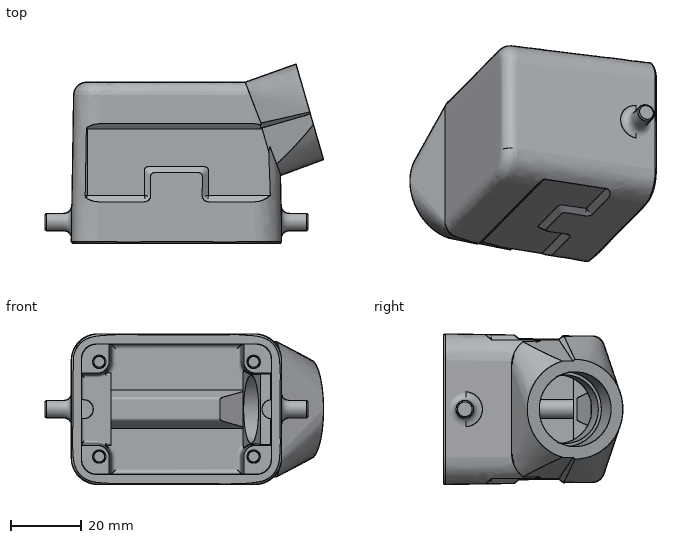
import cadquery as cq
import math

rim_length = 60.0
rim_height = 43.0
corner_radius = 7.6
body_depth = 46.0
body_draft = 0.9
back_fillet = 3.8
rim_chamfer = 0.6

opening_length = 54.2
opening_height = 37.2
opening_radius = 4.3
cavity_depth = 43.0
cavity_draft = 0.4
cavity_floor_fillet = 1.2

screw_pitch_x = 44.0
screw_pitch_z = 27.0
screw_hole_diameter = 3.1
screw_hole_depth = 10.0
screw_hole_chamfer = 0.35
screw_hole_chamfer_angle = 45.0
post_face_y = 9.8
post_inner_x = 19.2
post_inner_z = 10.3
post_edge_radius = 3.3
post_draft = 1.5

shelf_y = 37.0
shelf_edge_x = -18.6
shelf_fillet = 0.6
ridge_top_y = 38.0
ridge_top_width = 6.4
ridge_base_width = 11.0
ridge_edge_radius = 1.0
ridge_ramp_start_x = 12.4
ridge_ramp_end_y = 42.0
ridge_end_x = 19.0

wall_step_start = (26.8, 19.2)
wall_step_end = (24.0, 20.6)
wall_foot = (19.0, cavity_depth)

rib_width = 5.4
rib_face_y = 10.5
left_rib_reach = 3.4
right_rib_reach = 2.7
rib_root_overlap = 1.0

pin_diameter = 5.0
pin_span = 75.0
pin_y = 6.1
pin_chamfer = 0.4
pin_collar_diameter = 10.0
pin_collar_length = 2.6
pin_wall_sink = 0.1
pin_root_inset = 1.0

panel_floor_z = 19.75
panel_left_x = -25.4
panel_right_x = 33.0
panel_low_y = 13.75
panel_high_y = 32.7
panel_slope_run = 1.65
panel_slope_angle = 50.0
tongue_floor_width = 18.3
tongue_floor_y = 21.9
tongue_corner_radius = 2.0
panel_cut_height = 2.0

outlet_top = (19.6, body_depth)
outlet_bottom = (29.8, 19.4)
outlet_base_height = 41.8
mouth_center = (38.03, 37.53)
mouth_diameter = 28.4
mouth_flat = 0.06
mouth_tilt = math.radians(16.06)
outlet_low_radius = 8.5
bore_diameter = 19.5
bore_length = 18.5
entry_diameter = 21.3
entry_depth = 10.0
outlet_step_length = 15.0
outlet_step_mouth_z = 13.7
outlet_step_base_z = 20.0
outlet_step_lift = 1.0

overshoot = 5.0
select_margin = 0.1


def facing_back(y):
    """XZ work plane at depth y whose extrusions run toward +Y."""
    return cq.Workplane(cq.Plane((0, y, 0), (1, 0, 0), (0, 1, 0)))


def tilted_plane(center, tilt):
    """Plane facing outward along the tilt: local x runs up toward +Y, local y is Z."""
    sine = math.sin(tilt)
    cosine = math.cos(tilt)
    return cq.Plane((center[0], center[1], 0), (-sine, cosine, 0), (cosine, sine, 0))


def prism_about_mid(points, height):
    """Extrude an XY outline symmetrically about Z = 0."""
    return cq.Workplane("XY").polyline(points).close().extrude(height / 2, both=True)


def mirrored_pair(shape):
    return shape.union(shape.mirror("XY"))


def rounded_rectangle(length, height, radius):
    return cq.Sketch().rect(length, height).vertices().fillet(radius)


def make_shell():
    """Drafted outer block whose corner radius stays the same over the depth."""
    shrink = 2 * body_depth * math.tan(math.radians(body_draft))
    rim = rounded_rectangle(rim_length, rim_height, corner_radius)
    back = rounded_rectangle(rim_length - shrink, rim_height - shrink, corner_radius)
    shell = facing_back(0).placeSketch(rim, back.moved(cq.Location((0, 0, body_depth)))).loft(ruled=True)
    shell = shell.faces(">Y").edges().fillet(back_fillet)
    return shell.faces("<Y").edges().chamfer(rim_chamfer)


def rounded_wire(plane, length, height, high_radius, low_radius):
    """Rectangle with separate corner radii at its +x and -x ends."""
    half_x = length / 2
    half_y = height / 2
    corners = [
        (1, -1, high_radius, True),
        (1, 1, high_radius, False),
        (-1, 1, low_radius, True),
        (-1, -1, low_radius, False),
    ]
    work = cq.Workplane(plane).moveTo(low_radius - half_x, -half_y)
    for sign_x, sign_y, radius, arrives_along_x in corners:
        tip_x = sign_x * half_x
        tip_y = sign_y * half_y
        along_x = (tip_x - sign_x * radius, tip_y)
        along_y = (tip_x, tip_y - sign_y * radius)
        inset = radius * (1 - math.sqrt(0.5))
        middle = (tip_x - sign_x * inset, tip_y - sign_y * inset)
        start, end = (along_x, along_y) if arrives_along_x else (along_y, along_x)
        work = work.lineTo(*start).threePointArc(middle, end)
    return work.close().wire().val()


base_run_x = outlet_bottom[0] - outlet_top[0]
base_run_y = outlet_top[1] - outlet_bottom[1]
base_tilt = math.atan2(base_run_x, base_run_y)
base_length = math.hypot(base_run_x, base_run_y)
base_center = (
    (outlet_top[0] + outlet_bottom[0]) / 2,
    (outlet_top[1] + outlet_bottom[1]) / 2,
)
base_plane = tilted_plane(base_center, base_tilt)
mouth_plane = tilted_plane(mouth_center, mouth_tilt)


def make_outlet():
    """Ruled transition from a rounded rectangle to a nearly circular mouth."""
    base = rounded_wire(base_plane, base_length, outlet_base_height, back_fillet, outlet_low_radius)
    mouth_radius = (mouth_diameter - mouth_flat) / 2
    mouth = rounded_wire(mouth_plane, mouth_diameter, mouth_diameter, mouth_radius, mouth_radius)
    return cq.Workplane(cq.Solid.makeLoft([base, mouth], True))


def make_end_cutter():
    """Everything beyond the plane where the outlet starts."""
    return cq.Workplane(base_plane).rect(2 * rim_length, 2 * rim_height).extrude(rim_length)


def make_panel_cutter():
    """Slope-sided panel recess on both broad sides, leaving a raised tongue by the rim."""
    half_tongue = tongue_floor_width / 2
    points = [
        (panel_left_x, panel_low_y),
        (-half_tongue, panel_low_y),
        (-half_tongue, tongue_floor_y),
        (half_tongue, tongue_floor_y),
        (half_tongue, panel_low_y),
        (panel_right_x, panel_low_y),
        (panel_right_x, panel_high_y),
        (panel_left_x, panel_high_y),
    ]
    panel = cq.Workplane("XY", origin=(0, 0, panel_floor_z)).polyline(points).close()
    cutter = panel.extrude(panel_cut_height, taper=-panel_slope_angle)
    slope_mid_z = panel_floor_z + panel_cut_height / 2
    reach_x = half_tongue + tongue_corner_radius
    tongue_corners = cq.selectors.BoxSelector(
        (-reach_x, 0, slope_mid_z - select_margin),
        (reach_x, panel_high_y - panel_slope_run, slope_mid_z + select_margin),
    )
    return mirrored_pair(cutter.edges(tongue_corners).fillet(tongue_corner_radius))


def make_outlet_step_cutter():
    """Lowers the rim-side half of each broad outlet face, continuing the panel."""

    def section(offset, floor_z):
        plane = cq.Plane(
            mouth_plane.toWorldCoords((0, 0, offset)), mouth_plane.xDir, mouth_plane.zDir
        )
        slope_rise = panel_slope_run / math.tan(math.radians(panel_slope_angle))
        low_edge = -mouth_diameter
        points = [
            (low_edge, floor_z),
            (outlet_step_lift - panel_slope_run, floor_z),
            (outlet_step_lift, floor_z + slope_rise),
            (outlet_step_lift, floor_z + overshoot),
            (low_edge, floor_z + overshoot),
        ]
        return cq.Workplane(plane).polyline(points).close().wire().val()

    sections = [section(-outlet_step_length, outlet_step_base_z), section(0, outlet_step_mouth_z)]
    return mirrored_pair(cq.Workplane(cq.Solid.makeLoft(sections, True)))


def make_pin(side):
    """Locking pin with a flared collar on one end wall."""
    plane = cq.Plane((0, pin_y, 0), (0, 1, 0), (side, 0, 0))
    pin_root = opening_length / 2 + pin_root_inset
    pin = cq.Workplane(plane).workplane(offset=pin_root).circle(pin_diameter / 2)
    pin = pin.extrude(pin_span / 2 - pin_root)
    pin = pin.faces(">X" if side > 0 else "<X").chamfer(pin_chamfer)
    root_x = rim_length / 2 - pin_wall_sink
    tip_x = root_x + pin_collar_length
    pin_radius = pin_diameter / 2
    root_radius = pin_collar_diameter / 2
    start = (side * root_x, pin_y + root_radius)
    end = (side * tip_x, pin_y + pin_radius)
    blend = cq.Workplane("XY").moveTo(side * root_x, pin_y).lineTo(*start)
    blend = blend.spline([end], tangents=[(0, -1), (side, 0)], includeCurrent=True)
    blend = blend.lineTo(side * tip_x, pin_y).close()
    return pin.union(blend.revolve(360, (0, pin_y, 0), (1, pin_y, 0)))


def make_posts():
    """Four corner posts rounded on the inner edge, oversized outward to reach past the cavity."""
    post_size = rim_length / 2
    posts = None
    for side_x in (-1, 1):
        for side_z in (-1, 1):
            center_x = side_x * (post_inner_x + post_size / 2)
            center_z = side_z * (post_inner_z + post_size / 2)
            outline = rounded_rectangle(post_size, post_size, post_edge_radius)
            post = facing_back(post_face_y).center(center_x, -center_z).placeSketch(outline)
            post = post.extrude(body_depth, taper=-post_draft)
            posts = post if posts is None else posts.union(post)
    return posts


def make_ridge():
    """Floor ridge with sloped flanks and a ramp down at the outlet end."""
    points = [
        (-ridge_base_width / 2, cavity_depth),
        (-ridge_top_width / 2, ridge_top_y),
        (ridge_top_width / 2, ridge_top_y),
        (ridge_base_width / 2, cavity_depth),
    ]
    start_x = -post_inner_x
    plane = cq.Plane((start_x, 0, 0), (0, 0, -1), (1, 0, 0))
    ridge = cq.Workplane(plane).polyline(points).close().extrude(ridge_end_x - start_x)
    ramp = [
        (ridge_ramp_start_x, ridge_top_y),
        (ridge_end_x, ridge_ramp_end_y),
        (ridge_end_x, ridge_top_y),
    ]
    ridge = ridge.cut(prism_about_mid(ramp, 2 * ridge_base_width))
    return ridge.faces("<Y").edges("|X").fillet(ridge_edge_radius)


def make_rib(side, reach):
    """Rib along Y on an end wall, with a rounded nose pointing into the cavity."""
    wall_x = side * opening_length / 2
    radius = rib_width / 2
    length = shelf_y - rib_face_y
    nose_x = wall_x - side * (reach - radius)
    root_x = wall_x + side * rib_root_overlap
    nose = facing_back(rib_face_y).center(nose_x, 0).circle(radius).extrude(length)
    web = facing_back(rib_face_y).center((nose_x + root_x) / 2, 0)
    return nose.union(web.rect(abs(root_x - nose_x), rib_width).extrude(length))


def make_cavity():
    """The hollow of the hood, less the posts, shelf, ridge, end wall and ribs that stand in it."""
    opening = rounded_rectangle(opening_length, opening_height, opening_radius)
    cavity = facing_back(0).placeSketch(opening).extrude(cavity_depth, taper=cavity_draft)
    cavity = cavity.cut(make_posts())
    cavity = cavity.faces(">Y").edges().fillet(cavity_floor_fillet)
    shelf_points = [
        (-rim_length / 2, shelf_y),
        (shelf_edge_x, shelf_y),
        (shelf_edge_x, body_depth),
        (-rim_length / 2, body_depth),
    ]
    cavity = cavity.cut(prism_about_mid(shelf_points, 2 * post_inner_z))
    shelf_edges = cq.selectors.BoxSelector(
        (-rim_length / 2, shelf_y - select_margin, -opening_height),
        (-post_inner_x - select_margin, shelf_y + select_margin, opening_height),
    )
    cavity = cavity.edges(shelf_edges).fillet(shelf_fillet)
    cavity = cavity.cut(make_ridge())
    end_points = [
        wall_step_start,
        wall_step_end,
        wall_foot,
        (rim_length / 2, cavity_depth),
        (rim_length / 2, wall_step_start[1]),
    ]
    cavity = cavity.cut(prism_about_mid(end_points, opening_height))
    cavity = cavity.cut(make_rib(-1, left_rib_reach))
    return cavity.cut(make_rib(1, right_rib_reach))


def make_screw_holes():
    radius = screw_hole_diameter / 2
    holes = facing_back(post_face_y).rarray(screw_pitch_x, screw_pitch_z, 2, 2).circle(radius)
    holes = holes.extrude(screw_hole_depth)
    sink = facing_back(post_face_y).rarray(screw_pitch_x, screw_pitch_z, 2, 2)
    sink = sink.circle(radius + screw_hole_chamfer).extrude(screw_hole_chamfer, taper=screw_hole_chamfer_angle)
    return holes.union(sink)


def make_bore():
    """Cable bore with a wider entry, stopping short of the floor ridge."""
    bore = cq.Workplane(mouth_plane).circle(bore_diameter / 2).extrude(-bore_length)
    entry = cq.Workplane(mouth_plane).circle(entry_diameter / 2).extrude(-entry_depth)
    return bore.union(entry).cut(make_ridge())


result = make_shell().cut(make_end_cutter()).union(make_outlet())
result = result.cut(make_panel_cutter()).cut(make_outlet_step_cutter())
for pin_side in (-1, 1):
    result = result.union(make_pin(pin_side))
result = result.cut(make_cavity()).cut(make_screw_holes()).cut(make_bore())